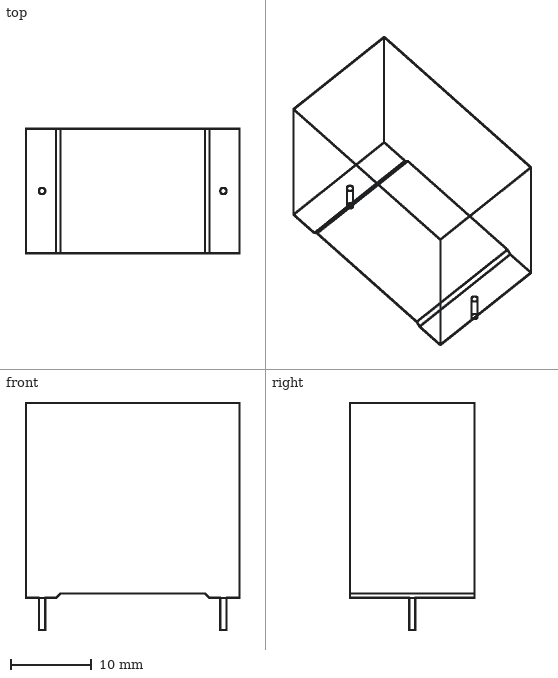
import cadquery as cq

total_height = 28.2
body_length = 26.5
body_width = 15.5
body_height = 24.2

relief_depth = 0.5
relief_top_length = 18.0
relief_bottom_length = relief_top_length + 2 * relief_depth

pin_diameter = 0.8
pin_spacing = 22.5
pin_length = total_height - body_height


def make_body():
    """Box-shaped body standing on Z = 0, centred in X and Y."""
    return cq.Workplane("XY").box(body_length, body_width, body_height, centered=(True, True, False))


def make_relief():
    """Sloped-end channel that runs through the full body width."""
    return (
        cq.Workplane("XZ")
        .moveTo(-relief_bottom_length / 2, 0)
        .lineTo(-relief_top_length / 2, relief_depth)
        .lineTo(relief_top_length / 2, relief_depth)
        .lineTo(relief_bottom_length / 2, 0)
        .close()
        .extrude(body_width / 2, both=True)
    )


def make_pins():
    """Pair of pins that hang below the feet."""
    return (
        cq.Workplane("XY")
        .pushPoints([(-pin_spacing / 2, 0), (pin_spacing / 2, 0)])
        .circle(pin_diameter / 2)
        .extrude(-pin_length)
    )


result = make_body().cut(make_relief()).union(make_pins())